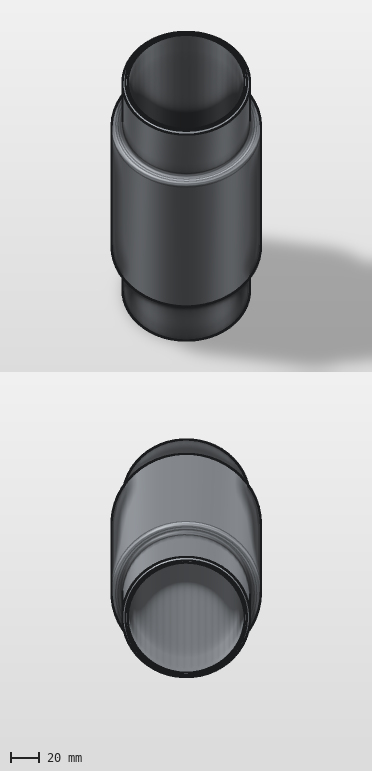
import cadquery as cq

length = 246.0
body_diameter = 104.8
neck_diameter = 89.5
bore_diameter = 82.0

neck_length = 50.2
shoulder_round = 3.0
chamfer_width = 2.2
chamfer_height = 1.5

body_length = length - 2 * neck_length


def cylinder(diameter, height):
    """Cylinder about the Z axis, centred on the origin."""
    return cq.Workplane("XY").circle(diameter / 2).extrude(height / 2, both=True)


def round_shoulder(sleeve, shoulder_z):
    """Round both edges of the flat shoulder ring at the given height."""
    ring = sleeve.faces(cq.selectors.NearestToPointSelector((0, 0, shoulder_z)))
    return ring.edges().fillet(shoulder_round)


def upper_chamfer_cutter():
    """Ring that bevels the outer edge of the upper neck end."""
    neck_radius = neck_diameter / 2
    end_z = length / 2
    return (
        cq.Workplane("XZ")
        .moveTo(neck_radius, end_z)
        .lineTo(neck_radius - chamfer_width, end_z)
        .lineTo(neck_radius, end_z - chamfer_height)
        .close()
        .revolve(360, (0, 0), (0, 1))
    )


sleeve = cylinder(neck_diameter, length).union(cylinder(body_diameter, body_length))

for side in (-1, 1):
    sleeve = round_shoulder(sleeve, side * body_length / 2)

upper_cutter = upper_chamfer_cutter()
sleeve = sleeve.cut(upper_cutter).cut(upper_cutter.mirror("XY"))

result = sleeve.cut(cylinder(bore_diameter, length))